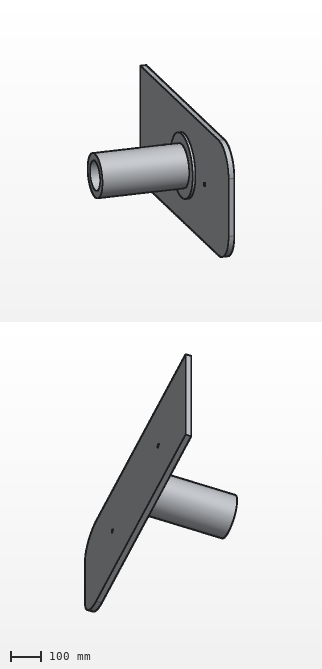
import cadquery as cq

plate_length = 880.0
plate_height = 400.0
plate_thickness = 20.0
corner_radius = 100.0

flange_diameter = 220.0
flange_thickness = 10.0
tube_diameter = 150.0
bore_diameter = 100.0
total_depth = 330.0
tube_length = total_depth - plate_thickness - flange_thickness

hole_diameter = 12.0
hole_offset = 200.0


def make_plate():
    """Plate with its back on Y = 0, rounded at the two +X corners, with two through holes."""
    plate = cq.Workplane("XZ").rect(plate_length, plate_height).extrude(plate_thickness)
    plate = plate.edges("|Y and >X").fillet(corner_radius)
    return (
        plate.faces("<Y")
        .workplane(origin=(0, 0, 0))
        .pushPoints([(-hole_offset, 0), (hole_offset, 0)])
        .hole(hole_diameter)
    )


def add_flange(body):
    return body.faces("<Y").workplane(origin=(0, 0, 0)).circle(flange_diameter / 2).extrude(flange_thickness)


def add_tube(body):
    """Tube whose bore is closed at the back by the flange."""
    return (
        body.faces("<Y")
        .workplane(origin=(0, 0, 0))
        .circle(tube_diameter / 2)
        .circle(bore_diameter / 2)
        .extrude(tube_length)
    )


result = add_tube(add_flange(make_plate()))